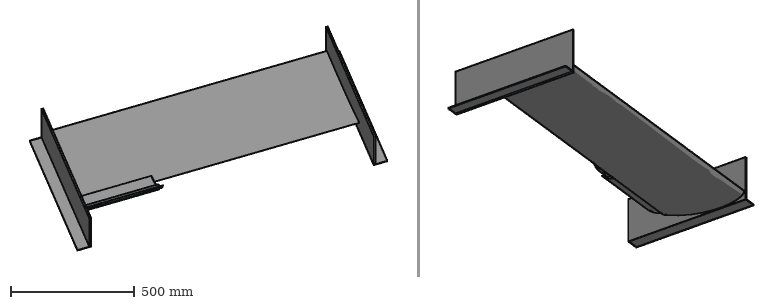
import cadquery as cq
import math

span = 1332.0
plate_length = 580.0
plate_height = 200.0

plate_thickness = 8.0
flange_width = 59.0
flange_thickness = 4.0
inner_half_span = span / 2 - flange_width

main_nose = (7.0, 41.0)
main_tail = (405.0, 65.0)
main_upper_rise = 20.0
main_upper_sag = 24.0
main_lower_drop = 48.0
main_lower_sag = 75.0

flap_span = 329.0
lower_nose = (382.0, 80.0)
lower_tail = (480.0, 113.0)
upper_nose = (458.0, 120.0)
upper_tail = (523.0, plate_height)
flap_upper_rise = 4.0
flap_upper_sag = 13.0
flap_lower_drop = 12.0
flap_lower_sag = 24.0

handle_position = 0.5


def make_bracket(side):
    """End plate with a foot flange; side is -1 or +1 along Y."""
    inner = side * inner_half_span
    plate_outer = inner + side * plate_thickness
    flange_outer = side * span / 2
    return (
        cq.Workplane("YZ")
        .moveTo(inner, 0)
        .lineTo(flange_outer, 0)
        .lineTo(flange_outer, flange_thickness)
        .lineTo(plate_outer, flange_thickness)
        .lineTo(plate_outer, plate_height)
        .lineTo(inner, plate_height)
        .close()
        .extrude(plate_length)
    )


def make_wing(nose, tail, upper_rise, upper_sag, lower_drop, lower_sag, length):
    """Cambered wing with a round nose and a sharp tail, starting at the -Y bracket."""
    chord = math.dist(nose, tail)
    along = ((tail[0] - nose[0]) / chord, (tail[1] - nose[1]) / chord)

    def place(distance, height):
        """Point at a distance along the chord and a height above it."""
        return (
            nose[0] + distance * along[0] - height * along[1],
            nose[1] + distance * along[1] + height * along[0],
        )

    upper_nose_handle = place(0, upper_rise)
    lower_nose_handle = place(0, -lower_drop)
    upper_middle = place(handle_position * chord, -upper_sag)
    lower_middle = place(handle_position * chord, -lower_sag)
    return (
        cq.Workplane("XZ", origin=(0, -inner_half_span, 0))
        .moveTo(*tail)
        .bezier([tail, upper_middle, upper_nose_handle, nose])
        .bezier([nose, lower_nose_handle, lower_middle, tail])
        .wire()
        .extrude(-length)
    )


brackets = [make_bracket(side) for side in (-1, 1)]
main_wing = make_wing(
    main_nose,
    main_tail,
    main_upper_rise,
    main_upper_sag,
    main_lower_drop,
    main_lower_sag,
    2 * inner_half_span,
)
flaps = [
    make_wing(
        nose, tail, flap_upper_rise, flap_upper_sag, flap_lower_drop, flap_lower_sag, flap_span
    )
    for nose, tail in ((lower_nose, lower_tail), (upper_nose, upper_tail))
]

result = cq.Compound.makeCompound(
    [body.val() for body in (*brackets, main_wing, *flaps)]
)